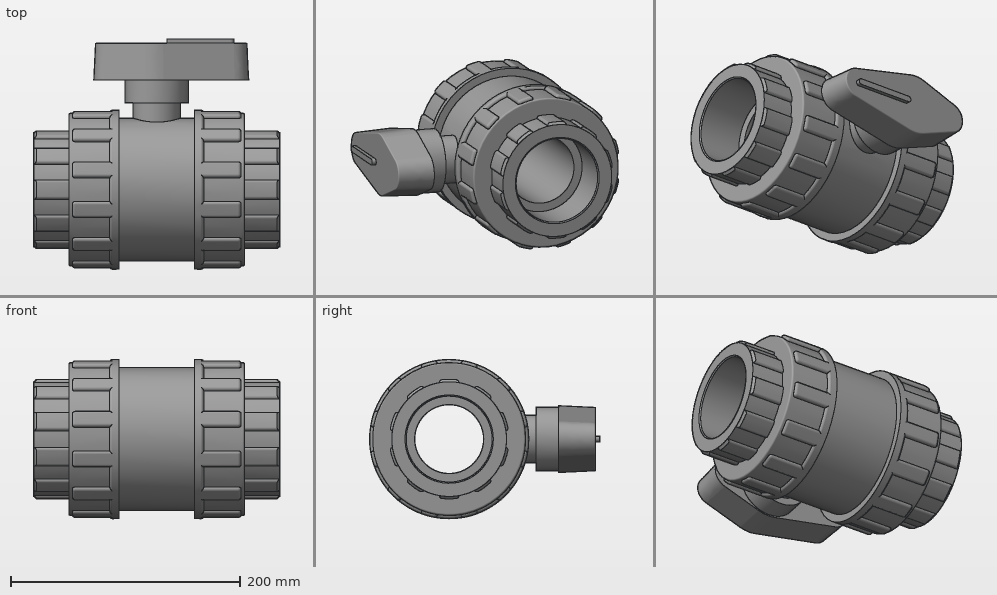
import cadquery as cq
import math

overall_length = 215.0
overall_depth = 201.2

body_diameter = 125.1
port_diameter = 60.0
socket_diameter = 75.0
socket_depth = 44.0
socket_chamfer = 1.0

nut_diameter = 133.5
collar_diameter = 139.0
nut_inner_x = 33.0
nut_outer_x = 76.8
collar_width = 8.2
nut_edge_round = 1.5
nut_rib_count = 12
nut_rib_width = 14.5
nut_rib_outer_x = 73.7
nut_rib_round = 2.5

connector_diameter = 100.2
connector_rib_count = 10
connector_rib_width = 17.0
connector_rib_radius = 52.2
connector_rib_round = 2.5
connector_rib_chamfer = 2.4

stem_diameter = 41.7
hub_diameter = 55.7
hub_start_y = 76.0

handle_start_y = 95.7
handle_height = 32.2
handle_middle_radius = 29.2
handle_end_radius = 15.7
handle_left_reach = 55.0
handle_right_reach = 80.5
handle_draft = 2.7
handle_edge_round = 1.0

pointer_left_x = 8.8
pointer_right_x = 67.5
pointer_width = 5.4

collar_radius = collar_diameter / 2
connector_end_x = overall_length / 2
handle_top_y = handle_start_y + handle_height
pointer_top_y = overall_depth - collar_radius


def rod_x(diameter, start, end):
    return cq.Workplane("YZ", origin=(start, 0, 0)).circle(diameter / 2).extrude(end - start)


def rod_y(diameter, start, end):
    return cq.Workplane("XZ", origin=(0, start, 0)).circle(diameter / 2).extrude(start - end)


def block(start_x, end_x, width, bottom, top):
    """Box along X, centred on Y, between two heights."""
    box = cq.Workplane("XY", origin=(start_x, 0, bottom))
    return box.box(end_x - start_x, width, top - bottom, centered=(False, True, False))


def ring_of_ribs(rib, count, first_angle):
    """Copies of a rib spread evenly around the flow axis."""
    ribs = cq.Workplane("XY")
    for index in range(count):
        angle = first_angle + index * 360 / count
        ribs = ribs.add(rib.rotate((0, 0, 0), (1, 0, 0), angle))
    return ribs


def add_ribs(solid, ribs):
    """Fuse ribs one by one; face merging stays off because the fillets run tangent to the collar."""
    for rib in ribs.vals():
        solid = solid.union(cq.Workplane(rib), clean=False)
    return solid


def union_nut():
    nut = rod_x(nut_diameter, nut_inner_x, nut_outer_x).faces(">X").edges().fillet(nut_edge_round)
    collar = rod_x(collar_diameter, nut_inner_x, nut_inner_x + collar_width)
    collar = collar.faces(">X").edges().fillet(nut_rib_round)

    rib_inner_x = nut_inner_x + collar_width / 4
    rib = block(rib_inner_x, nut_rib_outer_x, nut_rib_width, body_diameter / 2, collar_diameter)
    rib = rib.intersect(rod_x(collar_diameter, rib_inner_x, nut_rib_outer_x))
    rib = rib.faces(">Z").edges("|X").fillet(nut_rib_round)
    rib = rib.faces(">X").edges().fillet(nut_rib_round)
    ribs = ring_of_ribs(rib, nut_rib_count, 180 / nut_rib_count)
    return add_ribs(nut.union(collar), ribs)


def end_connector():
    connector = rod_x(connector_diameter, 0, connector_end_x)
    rib = block(nut_inner_x, connector_end_x, connector_rib_width, socket_diameter / 2, connector_diameter)
    rib_envelope = rod_x(2 * connector_rib_radius, nut_inner_x, connector_end_x)
    rib = rib.intersect(rib_envelope)
    rib = rib.faces(">Z").edges("|X").fillet(connector_rib_round)
    rib = rib.intersect(rib_envelope.faces(">X").chamfer(connector_rib_chamfer))
    ribs = ring_of_ribs(rib, connector_rib_count, 0)
    return add_ribs(connector, ribs)


def socket():
    """Cutter for a pipe socket with a chamfered mouth."""
    bore = rod_x(socket_diameter, connector_end_x - socket_depth, connector_end_x)
    mouth_radius = socket_diameter / 2 + socket_chamfer
    mouth = cq.Workplane("YZ", origin=(connector_end_x, 0, 0)).circle(mouth_radius)
    mouth = mouth.workplane(offset=-socket_chamfer).circle(socket_diameter / 2).loft()
    return bore.union(mouth)


def handle():
    left_x = handle_end_radius - handle_left_reach
    right_x = handle_right_reach - handle_end_radius
    radius_step = handle_middle_radius - handle_end_radius

    def tangent_point(center_x, radius, cosine):
        return (center_x + radius * cosine, radius * math.sqrt(1 - cosine**2))

    def mirrored(point):
        return (point[0], -point[1])

    left_cosine = radius_step / left_x
    right_cosine = radius_step / right_x
    left_end = tangent_point(left_x, handle_end_radius, left_cosine)
    left_middle = tangent_point(0, handle_middle_radius, left_cosine)
    right_middle = tangent_point(0, handle_middle_radius, right_cosine)
    right_end = tangent_point(right_x, handle_end_radius, right_cosine)

    outline = (
        cq.Workplane("XZ", origin=(0, handle_start_y, 0))
        .moveTo(*left_end)
        .lineTo(*left_middle)
        .threePointArc((0, handle_middle_radius), right_middle)
        .lineTo(*right_end)
        .threePointArc((handle_right_reach, 0), mirrored(right_end))
        .lineTo(*mirrored(right_middle))
        .threePointArc((0, -handle_middle_radius), mirrored(left_middle))
        .lineTo(*mirrored(left_end))
        .threePointArc((-handle_left_reach, 0), left_end)
        .close()
    )
    lever = outline.extrude(-handle_height, taper=handle_draft)
    return lever.faces(">Y").edges().fillet(handle_edge_round)


def pointer():
    center_x = (pointer_left_x + pointer_right_x) / 2
    outline = cq.Workplane("XZ", origin=(center_x, handle_top_y, 0))
    outline = outline.slot2D(pointer_right_x - pointer_left_x, pointer_width)
    return outline.extrude(handle_top_y - pointer_top_y)


half = end_connector().union(union_nut(), clean=False)
valve = half.union(half.mirror("YZ"), clean=False)
valve = valve.union(rod_x(body_diameter, -nut_inner_x, nut_inner_x), clean=False)

valve = valve.union(rod_y(stem_diameter, 0, hub_start_y))
valve = valve.union(rod_y(hub_diameter, hub_start_y, handle_start_y))
valve = valve.union(handle()).union(pointer())

valve = valve.cut(rod_x(port_diameter, -connector_end_x, connector_end_x))
valve = valve.cut(socket()).cut(socket().mirror("YZ"))

result = cq.Workplane(valve.solids().val())